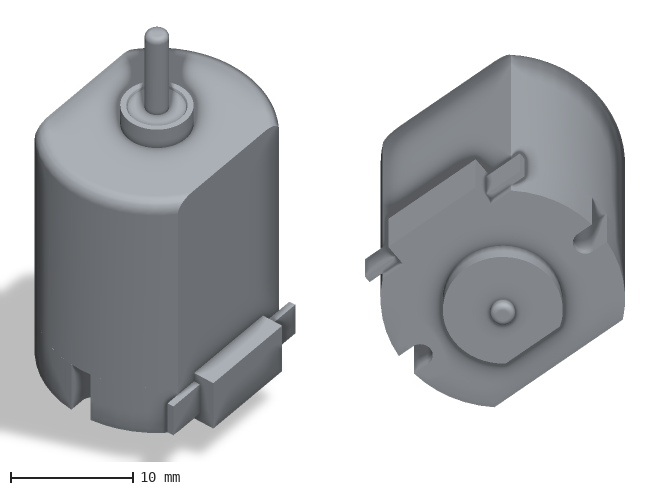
import cadquery as cq

total_height = 38.0
tip_length = 1.0
lower_boss_height = 2.0
cap_height = 4.98
can_height = 20.03
bearing_height = 2.0
cap_bottom = tip_length + lower_boss_height
can_bottom = cap_bottom + cap_height
can_top = can_bottom + can_height
bearing_top = can_top + bearing_height

body_radius = 10.0
flat_distance = 7.5
can_fillet = 1.15

shaft_diameter = 2.0
shaft_fillet = 0.5
bearing_diameter = 6.0
recess_rim_diameter = 5.0
recess_floor_diameter = 4.8
recess_depth = 0.2

lower_boss_radius = 4.9
lower_boss_flat = 4.03
slot_width = shaft_diameter
slot_bottom_distance = 7.5
block_thickness = 2.0
block_width = 9.0
terminal_thickness = 0.6
terminal_span = 15.95
terminal_bottom = 3.9
terminal_height = 3.15


def cylinder(diameter, bottom, height):
    return cq.Workplane("XY").workplane(offset=bottom).circle(diameter / 2).extrude(height)


def slab(x_min, x_max, width, bottom, height):
    """Box between two X positions, centred across Y."""
    box = cq.Workplane("XY").box(x_max - x_min, width, height, centered=(False, True, False))
    return box.translate((x_min, 0, bottom))


def trim_to_flats(body, bottom, height):
    return body.intersect(slab(-flat_distance, flat_distance, 2 * body_radius, bottom, height))


def bearing_recess():
    """Shallow tapered recess in the top of the bearing housing."""
    return (
        cq.Workplane("XY")
        .workplane(offset=bearing_top)
        .circle(recess_rim_diameter / 2)
        .workplane(offset=-recess_depth)
        .circle(recess_floor_diameter / 2)
        .loft()
    )


def make_can():
    """Motor can with its bearing housing and the output end of the shaft."""
    can = cylinder(2 * body_radius, can_bottom, can_height).faces(">Z").edges().fillet(can_fillet)
    can = trim_to_flats(can, can_bottom, can_height)
    bearing = cylinder(bearing_diameter, can_top, bearing_height).cut(bearing_recess())
    shaft = cylinder(shaft_diameter, can_top, total_height - can_top)
    shaft = shaft.faces(">Z").edges().fillet(shaft_fillet)
    return can.union(bearing).union(shaft)


def side_slot(side):
    """Full-height slot with a round bottom, cut in from the -Y (-1) or +Y (+1) side."""
    arc_centre = slot_bottom_distance + slot_width / 2
    slot = cylinder(slot_width, cap_bottom, cap_height).translate((0, side * arc_centre, 0))
    mouth_depth = body_radius - arc_centre
    mouth = slab(-slot_width / 2, slot_width / 2, mouth_depth, cap_bottom, cap_height)
    mouth = mouth.translate((0, side * (arc_centre + mouth_depth / 2), 0))
    return slot.union(mouth)


def make_lower_boss():
    """Round boss under the cap, with one flat facing -X."""
    boss = cylinder(2 * lower_boss_radius, tip_length, lower_boss_height)
    keep = slab(-lower_boss_flat, lower_boss_radius, 2 * lower_boss_radius, tip_length, lower_boss_height)
    return boss.intersect(keep)


def make_end_cap():
    """End cap with side slots, terminal block, terminals, lower boss and shaft tip."""
    cap = trim_to_flats(cylinder(2 * body_radius, cap_bottom, cap_height), cap_bottom, cap_height)
    for side in (-1, 1):
        cap = cap.cut(side_slot(side))
    block_end = flat_distance + block_thickness
    block = slab(flat_distance, block_end, block_width, cap_bottom, cap_height)
    terminal_end = flat_distance + terminal_thickness
    terminals = slab(flat_distance, terminal_end, terminal_span, terminal_bottom, terminal_height)
    tip = cylinder(shaft_diameter, 0, tip_length).faces("<Z").edges().fillet(shaft_fillet)
    return cap.union(block).union(terminals).union(make_lower_boss()).union(tip)


can = make_can()
end_cap = make_end_cap()
result = cq.Compound.makeCompound([can.solids().val(), end_cap.solids().val()])